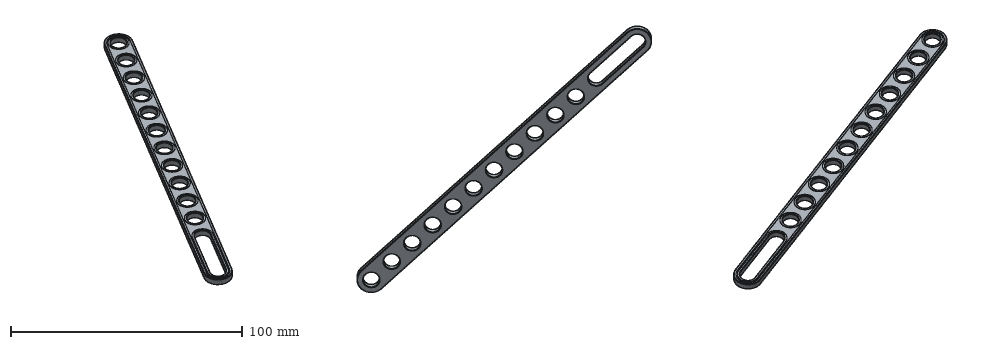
import cadquery as cq

length = 175.0
pitch_count = 14
round_hole_count = 11
hole_diameter = 7.0
wall = 1.1
channel_depth = 0.2
edge_chamfer = 0.3

pitch = length / pitch_count
width = pitch
thickness = pitch / 4

collar_diameter = hole_diameter + 2 * wall
channel_width = width - 2 * wall
channel_floor_z = thickness - channel_depth

first_hole_x = (width - length) / 2
last_center_x = -first_hole_x
slot_start_x = first_hole_x + round_hole_count * pitch
hole_centers = [(first_hole_x + i * pitch, 0) for i in range(round_hole_count)]


def stadium(start_x, end_x, diameter, bottom_z, height):
    """Upright round-ended prism with end centres at start_x and end_x on the X axis."""
    return (
        cq.Workplane("XY", origin=((start_x + end_x) / 2, 0, bottom_z))
        .slot2D(end_x - start_x + diameter, diameter)
        .extrude(height)
    )


def opening_shapes(diameter, bottom_z, height):
    """Cylinders at the round holes and a stadium at the long slot."""
    cylinders = (
        cq.Workplane("XY", origin=(0, 0, bottom_z))
        .pushPoints(hole_centers)
        .circle(diameter / 2)
        .extrude(height)
    )
    long_slot = stadium(slot_start_x, last_center_x, diameter, bottom_z, height)
    return cylinders.union(long_slot)


def pierced_bar():
    """Round-ended bar with every opening cut through and its edges chamfered on both faces."""
    blank = stadium(first_hole_x, last_center_x, width, 0, thickness)
    pierced = blank.cut(opening_shapes(hole_diameter, 0, thickness))
    return pierced.faces("<Z or >Z").edges().chamfer(edge_chamfer)


def channel():
    """Shallow recess in the top face that leaves a rim and full-height collars standing."""
    recess = stadium(first_hole_x, last_center_x, channel_width, channel_floor_z, channel_depth)
    collars = opening_shapes(collar_diameter, channel_floor_z, channel_depth)
    return recess.cut(collars)


result = pierced_bar().cut(channel())